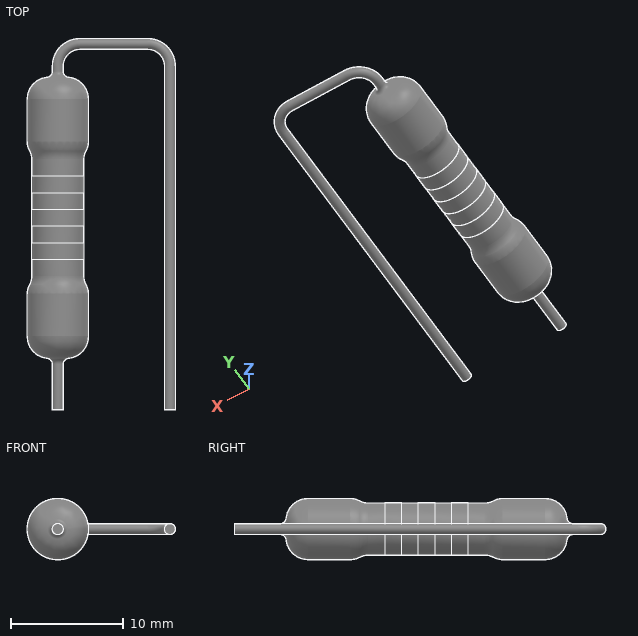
import cadquery as cq
import math

total_length = 33.1
lead_radius = 0.5
lead_spacing = 10.0
bend_radius = 2.0

cap_radius = 2.75
waist_radius = 4.67 / 2
band_radius = 4.7 / 2
band_sections = 7

body_centre = 17.1
cap_outer = 10.55
cap_inner = 6.8
waist_half = 5.2

dome_radius = 2.0
root_radius = 0.5


def half_body():
    """Solid of revolution from the body centre to the lead root, towards +Y."""
    dome_centre_r = cap_radius - dome_radius
    root_centre_r = lead_radius + root_radius
    offset_r = root_centre_r - dome_centre_r
    root_y = cap_outer + math.sqrt((dome_radius + root_radius) ** 2 - offset_r**2)
    crest_angle = math.atan2(root_y - cap_outer, offset_r)
    root_mid_angle = math.pi + crest_angle / 2

    def on_dome(angle):
        return (
            dome_centre_r + dome_radius * math.cos(angle),
            cap_outer + dome_radius * math.sin(angle),
        )

    root_mid = (
        root_centre_r + root_radius * math.cos(root_mid_angle),
        root_y + root_radius * math.sin(root_mid_angle),
    )
    shoulder_mid = ((waist_radius + cap_radius) / 2, (waist_half + cap_inner) / 2)

    return (
        cq.Workplane("XY")
        .lineTo(waist_radius, 0)
        .lineTo(waist_radius, waist_half)
        .tangentArcPoint(shoulder_mid, relative=False)
        .tangentArcPoint((cap_radius, cap_inner), relative=False)
        .lineTo(cap_radius, cap_outer)
        .threePointArc(on_dome(crest_angle / 2), on_dome(crest_angle))
        .threePointArc(root_mid, (lead_radius, root_y))
        .lineTo(0, root_y)
        .close()
        .revolve(360, (0, 0, 0), (0, 1, 0))
    )


def cylinder_along_y(radius, start, end):
    return cq.Workplane("XZ", origin=(0, start, 0)).circle(radius).extrude(start - end)


def bent_lead():
    """Lead from the body centre, over two bends, back to the plane Y = 0."""
    top_y = total_length - lead_radius
    bend_y = top_y - bend_radius
    corner = bend_radius * (1 - math.sqrt(0.5))
    path = (
        cq.Workplane("XY")
        .moveTo(0, body_centre)
        .lineTo(0, bend_y)
        .threePointArc((corner, top_y - corner), (bend_radius, top_y))
        .lineTo(lead_spacing - bend_radius, top_y)
        .threePointArc((lead_spacing - corner, top_y - corner), (lead_spacing, bend_y))
        .lineTo(lead_spacing, 0)
    )
    return cq.Workplane("XZ", origin=(0, body_centre, 0)).circle(lead_radius).sweep(path)


upper_half = half_body()
body = upper_half.union(upper_half.mirror("XZ")).translate((0, body_centre, 0))

band_width = 2 * waist_half / band_sections
for section in range(1, band_sections, 2):
    band_start = body_centre - waist_half + section * band_width
    body = body.union(cylinder_along_y(band_radius, band_start, band_start + band_width))

straight_lead = cylinder_along_y(lead_radius, 0, body_centre)
result = body.union(straight_lead).union(bent_lead())